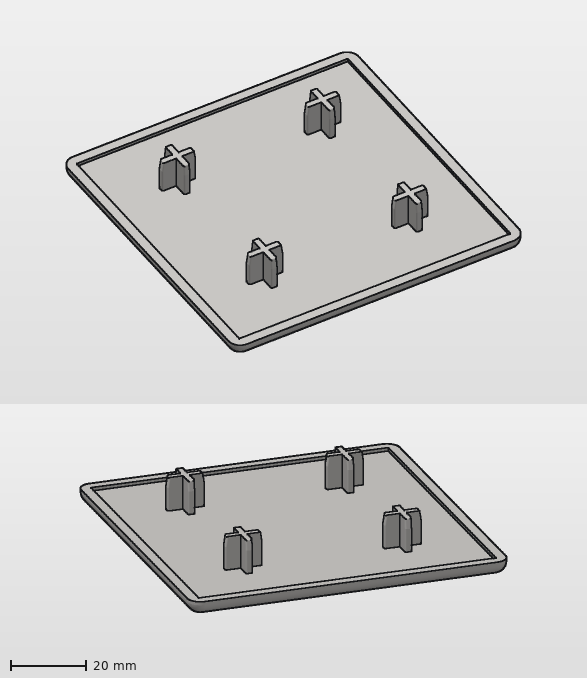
import cadquery as cq

plate_side = 90.0
plate_height = 4.0
corner_radius = 3.6
bottom_fillet = 3.0

rim_width = 3.0
pocket_depth = 1.0
pocket_side = plate_side - 2 * rim_width
pocket_floor = plate_height - pocket_depth

total_height = 12.5
peg_spacing = 45.0
peg_span = 10.4
blade_thickness = 1.9
taper_height = 3.0
taper_inset = 0.45
end_fillet = 0.45


def make_plate():
    """Rounded square plate with a filleted underside and a pocketed top."""
    plate = (
        cq.Workplane("XY")
        .rect(plate_side, plate_side)
        .extrude(plate_height)
        .edges("|Z")
        .fillet(corner_radius)
        .faces("<Z")
        .edges()
        .fillet(bottom_fillet)
    )
    pocket = (
        cq.Workplane("XY")
        .workplane(offset=pocket_floor)
        .rect(pocket_side, pocket_side)
        .extrude(pocket_depth)
    )
    return plate.cut(pocket)


def make_blade():
    """Upright blade along X whose rounded ends lean inward towards the top."""
    half_span = peg_span / 2
    half_top = half_span - taper_inset
    taper_start = total_height - taper_height
    profile = (
        cq.Workplane("XZ")
        .moveTo(-half_span, pocket_floor)
        .lineTo(half_span, pocket_floor)
        .lineTo(half_span, taper_start)
        .lineTo(half_top, total_height)
        .lineTo(-half_top, total_height)
        .lineTo(-half_span, taper_start)
        .close()
    )
    blade = profile.extrude(blade_thickness / 2, both=True)
    side_end_edges = blade.edges("(not |Y) and (not |X)")
    top_end_edges = blade.faces(">Z").edges("|Y")
    return side_end_edges.add(top_end_edges).fillet(end_fillet)


def make_peg():
    """Two identical blades crossed at right angles."""
    blade = make_blade()
    return blade.union(blade.rotate((0, 0, 0), (0, 0, 1), 90))


peg = make_peg()
result = make_plate()
for x in (-peg_spacing / 2, peg_spacing / 2):
    for y in (-peg_spacing / 2, peg_spacing / 2):
        result = result.union(peg.translate((x, y, 0)))